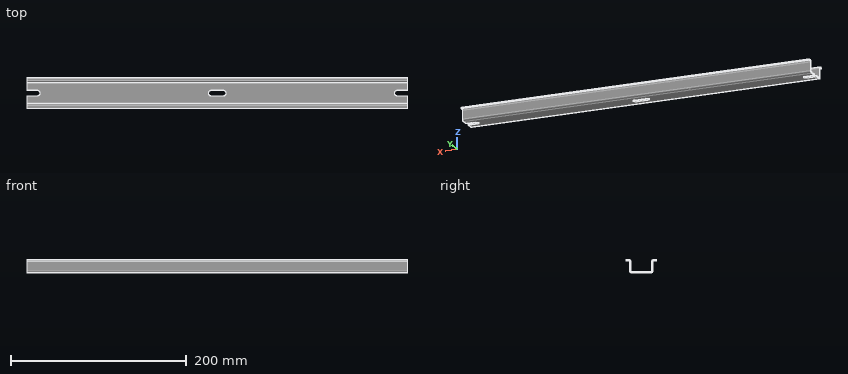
import cadquery as cq

length = 433.0
width = 35.0
height = 15.0
wall = 1.5
channel_width = 27.0
inner_bend = 0.8
outer_bend = inner_bend + wall

slot_width = 6.0
slot_length = 20.0
end_slot_depth = 14.7


def round_bend(rail, y, z, radius):
    """Round the lengthwise edge at (y, z) and its mirror image at (-y, z)."""
    corners = [cq.Vector(0, y, z), cq.Vector(0, -y, z)]

    def is_bend(edge):
        return any((edge.Center() - corner).Length < wall / 2 for corner in corners)

    return rail.edges("|X").filter(is_bend).fillet(radius)


def make_rail():
    """Bent sheet: a U-shaped channel with a flange turned out along each top edge."""
    half_width = width / 2
    outer_y = channel_width / 2
    inner_y = outer_y - wall
    flange_bottom = height - wall
    right_half = [
        (outer_y, 0),
        (outer_y, flange_bottom),
        (half_width, flange_bottom),
        (half_width, height),
        (inner_y, height),
        (inner_y, wall),
    ]
    left_half = [(-y, z) for y, z in reversed(right_half)]
    rail = cq.Workplane("YZ").polyline(right_half + left_half).close().extrude(length / 2, both=True)

    for y, z, radius in (
        (outer_y, 0, outer_bend),
        (inner_y, wall, inner_bend),
        (inner_y, height, outer_bend),
        (outer_y, flange_bottom, inner_bend),
    ):
        rail = round_bend(rail, y, z, radius)
    return rail


def make_slot(center_x, total_length):
    """Round-ended cutter that passes through the floor."""
    return cq.Workplane("XY").center(center_x, 0).slot2D(total_length, slot_width).extrude(height)


result = make_rail().cut(make_slot(0, slot_length))
for end_x in (-length / 2, length / 2):
    result = result.cut(make_slot(end_x, 2 * end_slot_depth))